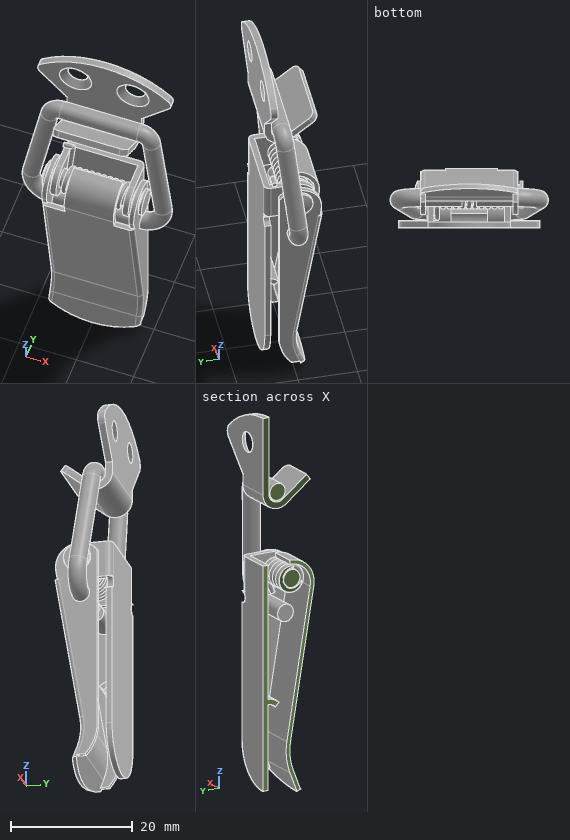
import cadquery as cq
import math



def polar(center, radius, degrees):
    """Point on a circle at an angle from the first axis of the sketch plane."""
    angle = math.radians(degrees)
    return center[0] + radius * math.cos(angle), center[1] + radius * math.sin(angle)


def along(start, distance, degrees):
    """Point a given distance from a start point along a heading."""
    return polar(start, distance, degrees)


def slab(profile, x_min, x_max):
    """Extrude a closed YZ profile from x_min to x_max."""
    return profile.extrude(x_max - x_min).translate((x_min, 0, 0))


def side_sketch():
    """Sketch plane with Y across and Z up."""
    return cq.Workplane("YZ")


def x_cylinder(center, radius, x_min, x_max):
    """Cylinder along X about a (Y, Z) center."""
    return slab(side_sketch().center(*center).circle(radius), x_min, x_max)


pin_center = (-5.5, 0.0)
pin_radius = 1.6

base_thickness = 1.0
base_half_width = 6.8
base_top = 3.05
ear_bottom = -3.1
relief_radius = 1.0
base_end_center = -29.1
tab_top = -20.1
tab_outer_radius = 3.0
tab_half_width = 3.0
tab_sweep = 45


def make_base():
    ear_height = base_top - ear_bottom
    ear_middle = (base_top + ear_bottom) / 2
    ear_radius = ear_height / 2
    bracket = slab(
        side_sketch()
        .moveTo(0, base_top)
        .lineTo(pin_center[0], base_top)
        .threePointArc((pin_center[0] - ear_radius, ear_middle), (pin_center[0], ear_bottom))
        .lineTo(0, ear_bottom)
        .close(),
        -base_half_width,
        base_half_width,
    )
    bracket = bracket.edges("|Z and >Y").fillet(base_thickness)
    inner_half_width = base_half_width - base_thickness
    inner_depth = 2 * abs(pin_center[0])
    channel = cq.Workplane("XY").box(
        2 * inner_half_width, inner_depth, 2 * ear_height, centered=(True, False, True)
    )
    bracket = bracket.cut(channel.translate((0, -base_thickness - inner_depth, 0)))
    bracket = bracket.cut(x_cylinder(pin_center, pin_radius, -base_half_width, base_half_width))

    plate = (
        cq.Workplane("XZ")
        .moveTo(-base_half_width, ear_bottom)
        .lineTo(base_half_width, ear_bottom)
        .lineTo(base_half_width, base_end_center)
        .threePointArc((0, base_end_center - base_half_width), (-base_half_width, base_end_center))
        .close()
        .extrude(base_thickness)
    )
    reliefs = (
        cq.Workplane("XZ")
        .pushPoints([(side * base_half_width, ear_bottom - relief_radius) for side in (-1, 1)])
        .circle(relief_radius)
        .extrude(base_thickness)
    )
    tab_center = (-base_thickness, tab_top - tab_outer_radius)
    tab_inner_radius = tab_outer_radius - base_thickness
    tab = slab(
        side_sketch()
        .moveTo(*polar(tab_center, tab_outer_radius, 90))
        .threePointArc(
            polar(tab_center, tab_outer_radius, 90 + tab_sweep / 2),
            polar(tab_center, tab_outer_radius, 90 + tab_sweep),
        )
        .lineTo(*polar(tab_center, tab_inner_radius, 90 + tab_sweep))
        .threePointArc(
            polar(tab_center, tab_inner_radius, 90 + tab_sweep / 2),
            polar(tab_center, tab_inner_radius, 90),
        )
        .close(),
        -tab_half_width,
        tab_half_width,
    )
    return bracket.union(plate.cut(reliefs)).union(tab)


wire_radius = 1.5
bail_top = (-2.8, 15.4)
bail_hinge = (-5.0, -6.2)
bail_top_half = 6.75
bail_top_bend = 2.15
bail_low_bend = 3.82
bail_low_bend_x = 7.685
bail_end_x = 1.2


def make_bail():
    rise = bail_top[1] - bail_hinge[1]
    setback = bail_top[0] - bail_hinge[0]
    length = math.hypot(rise, setback)
    tilt = math.degrees(math.atan2(setback, rise))

    low_center = (bail_low_bend_x, bail_low_bend)
    top_center = (bail_top_half, length - bail_top_bend)
    run = low_center[0] - top_center[0]
    drop = top_center[1] - low_center[1]
    splay = math.degrees(
        math.atan2(run, drop)
        + math.asin((bail_low_bend - bail_top_bend) / math.hypot(run, drop))
    )
    low_start = (low_center[0], 0)
    low_middle = polar(low_center, bail_low_bend, (splay - 90) / 2)
    low_end = polar(low_center, bail_low_bend, splay)
    top_start = polar(top_center, bail_top_bend, splay)
    top_middle = polar(top_center, bail_top_bend, (splay + 90) / 2)
    top_end = (bail_top_half, length)

    def mirrored(point):
        return -point[0], point[1]

    path = (
        cq.Workplane("XZ")
        .moveTo(bail_end_x, 0)
        .lineTo(*low_start)
        .threePointArc(low_middle, low_end)
        .lineTo(*top_start)
        .threePointArc(top_middle, top_end)
        .lineTo(*mirrored(top_end))
        .threePointArc(mirrored(top_middle), mirrored(top_start))
        .lineTo(*mirrored(low_end))
        .threePointArc(mirrored(low_middle), mirrored(low_start))
        .lineTo(-bail_end_x, 0)
    )
    loop = cq.Workplane("YZ", origin=(bail_end_x, 0, 0)).circle(wire_radius).sweep(path)
    return loop.rotate((0, 0, 0), (1, 0, 0), -tilt).translate((0, *bail_hinge))


strike_thickness = 1.2
strike_top = 28.55
strike_arc_radius = 16.7
strike_corner_radius = 1.5
neck_half_width = 6.5
neck_top = 17.1
wing_half_width = 12.2
screw_x = 5.0
screw_z = 23.05
screw_hole_radius = 1.7
countersink_radius = 2.8
lip_angle = 38
lip_length = 5.75
lip_corner_radius = 1.2
cradle_radius = 1.6
cradle_center = (-strike_thickness - cradle_radius, 15.3)


def make_strike():
    arc_drop = strike_arc_radius - math.sqrt(strike_arc_radius**2 - wing_half_width**2)
    wing_z = strike_top - arc_drop
    plate = (
        cq.Workplane("XZ")
        .moveTo(-neck_half_width, cradle_center[1])
        .lineTo(-neck_half_width, neck_top)
        .lineTo(-wing_half_width, wing_z)
        .threePointArc((0, strike_top), (wing_half_width, wing_z))
        .lineTo(neck_half_width, neck_top)
        .lineTo(neck_half_width, cradle_center[1])
        .close()
        .extrude(strike_thickness)
    )
    plate = plate.edges("|Y").edges("<X or >X").fillet(strike_corner_radius)
    for side in (-1, 1):
        screw_hole = cq.Solid.makeCone(
            screw_hole_radius,
            countersink_radius,
            strike_thickness,
            pnt=cq.Vector(side * screw_x, 0, screw_z),
            dir=cq.Vector(0, -1, 0),
        )
        plate = plate.cut(cq.Workplane(obj=screw_hole))

    outer_radius = cradle_radius + strike_thickness
    cradle_end = 270 - lip_angle
    lip_heading = 180 - lip_angle
    inner_end = polar(cradle_center, cradle_radius, cradle_end)
    outer_end = polar(cradle_center, outer_radius, cradle_end)
    cradle_middle = cradle_end / 2 + 180
    hook = slab(
        side_sketch()
        .moveTo(0, cradle_center[1])
        .threePointArc(polar(cradle_center, outer_radius, cradle_middle), outer_end)
        .lineTo(*along(outer_end, lip_length, lip_heading))
        .lineTo(*along(inner_end, lip_length, lip_heading))
        .lineTo(*inner_end)
        .threePointArc(
            polar(cradle_center, cradle_radius, cradle_middle),
            (-strike_thickness, cradle_center[1]),
        )
        .close(),
        -neck_half_width,
        neck_half_width,
    )
    lip_angle_rad = math.radians(lip_angle)
    lip_normal = cq.Vector(0, math.sin(lip_angle_rad), math.cos(lip_angle_rad))
    lip_corners = hook.edges(cq.selectors.ParallelDirSelector(lip_normal)).edges("<Y")
    hook = lip_corners.fillet(lip_corner_radius)
    return plate.union(hook)


lever_thickness = 0.8
lever_edge_radius = 0.75
lever_half_width = 8.0
lever_back = -2.23
lever_slope = 9.6
knuckle_center = (-5.3, -1.25)
knuckle_radius = 4.5
knuckle_left = -3.92
knuckle_right = 4.64
knuckle_end_angle = 87
cheek_inset = 0.5
shoulder_z = -3.35
lever_bend_z = -28.1
lever_bend_radius = 9.5
tip_slope = 21.4
tip_low = -36.94
tip_arc_radius = 17.0
wall_straight_end = -30.2
wall_foot = (-4.25, -34.7)
wall_curve_middle = (-3.0, -32.85)


def front_line_y(z, inset):
    """Y of the lever's sloping front at height z, set inwards by inset."""
    slope = math.radians(lever_slope)
    reach = (knuckle_radius - inset) / math.cos(slope)
    return knuckle_center[0] - reach - (z - knuckle_center[1]) * math.tan(slope)


def make_lever(bail_loop):
    inner_x = lever_half_width - lever_thickness
    bend_start = (front_line_y(lever_bend_z, 0), lever_bend_z)
    bend_center = along(bend_start, lever_bend_radius, 180 + lever_slope)
    inner_bend_radius = lever_bend_radius + lever_thickness
    bend_angles = (lever_slope, (lever_slope - tip_slope) / 2, -tip_slope)
    outer_bend = [polar(bend_center, lever_bend_radius, angle) for angle in bend_angles]
    inner_bend = [polar(bend_center, inner_bend_radius, angle) for angle in bend_angles]
    tip_length = (inner_bend[2][1] - tip_low) / math.cos(math.radians(tip_slope))
    tip_heading = 270 - tip_slope
    outer_tip = along(outer_bend[2], tip_length, tip_heading)
    inner_tip = along(inner_bend[2], tip_length, tip_heading)

    foot_height = (wall_foot[1] - tip_low) / math.cos(math.radians(tip_slope))
    sheet_foot = along(inner_tip, foot_height, tip_heading - 180)
    shoulder_front = (front_line_y(shoulder_z, 0), shoulder_z)
    lever = slab(
        side_sketch()
        .moveTo(*shoulder_front)
        .lineTo(*bend_start)
        .threePointArc(outer_bend[1], outer_bend[2])
        .lineTo(*outer_tip)
        .lineTo(*inner_tip)
        .lineTo(*sheet_foot)
        .lineTo(*wall_foot)
        .threePointArc(wall_curve_middle, (lever_back, wall_straight_end))
        .lineTo(lever_back, shoulder_z)
        .close(),
        -lever_half_width,
        lever_half_width,
    )
    front_edges = cq.Workplane()
    front_corners = (shoulder_front, bend_start, outer_bend[2], outer_tip)
    for start, end in zip(front_corners, front_corners[1:]):
        middle = ((start[0] + end[0]) / 2, (start[1] + end[1]) / 2)
        for side in (-1, 1):
            edge_middle = (side * lever_half_width, *middle)
            front_edges.add(lever.edges(cq.selectors.NearestToPointSelector(edge_middle)))
    lever = lever.newObject(front_edges.vals()).fillet(lever_edge_radius)
    hollow = slab(
        side_sketch()
        .moveTo(front_line_y(shoulder_z, lever_thickness), shoulder_z)
        .lineTo(*inner_bend[0])
        .threePointArc(inner_bend[1], inner_bend[2])
        .lineTo(*inner_tip)
        .lineTo(0, tip_low)
        .lineTo(0, shoulder_z)
        .close(),
        -inner_x,
        inner_x,
    )
    lever = lever.cut(hollow)

    tip_rad = math.radians(tip_slope)
    tip_plane = cq.Plane(
        origin=(0, *outer_tip),
        xDir=(1, 0, 0),
        normal=(0, -math.cos(tip_rad), math.sin(tip_rad)),
    )
    corner_rise = tip_arc_radius - math.sqrt(tip_arc_radius**2 - lever_half_width**2)
    trim = (
        cq.Workplane(tip_plane)
        .moveTo(-lever_half_width, corner_rise)
        .threePointArc((0, 0), (lever_half_width, corner_rise))
        .lineTo(lever_half_width, -corner_rise)
        .lineTo(-lever_half_width, -corner_rise)
        .close()
        .extrude(2 * lever_thickness, both=True)
    )
    lever = lever.cut(trim)

    inner_knuckle = knuckle_radius - lever_thickness
    roll_start = 180 + lever_slope
    roll_middle = (roll_start + knuckle_end_angle) / 2
    knuckle = slab(
        side_sketch()
        .moveTo(*shoulder_front)
        .lineTo(*polar(knuckle_center, knuckle_radius, roll_start))
        .threePointArc(
            polar(knuckle_center, knuckle_radius, roll_middle),
            polar(knuckle_center, knuckle_radius, knuckle_end_angle),
        )
        .lineTo(*polar(knuckle_center, inner_knuckle, knuckle_end_angle))
        .threePointArc(
            polar(knuckle_center, inner_knuckle, roll_middle),
            polar(knuckle_center, inner_knuckle, roll_start),
        )
        .lineTo(front_line_y(shoulder_z, lever_thickness), shoulder_z)
        .close(),
        knuckle_left,
        knuckle_right,
    )
    lever = lever.union(knuckle)

    cheek_radius = knuckle_radius - cheek_inset
    back_offset = lever_back - knuckle_center[0]
    cheek_back_z = knuckle_center[1] + math.sqrt(cheek_radius**2 - back_offset**2)
    for x_min in (-lever_half_width, inner_x):
        cheek = slab(
            side_sketch()
            .moveTo(lever_back, shoulder_z)
            .lineTo(lever_back, cheek_back_z)
            .threePointArc(
                polar(knuckle_center, cheek_radius, 90),
                polar(knuckle_center, cheek_radius, roll_start),
            )
            .lineTo(front_line_y(shoulder_z, cheek_inset), shoulder_z)
            .close(),
            x_min,
            x_min + lever_thickness,
        )
        lever = lever.union(cheek)

    for x_min in (-lever_half_width, inner_x):
        lever = lever.cut(x_cylinder(pin_center, pin_radius, x_min, x_min + lever_thickness))
    return lever.cut(bail_loop)


head_radius = 2.25
head_rim = 0.45
head_dome = 0.6
collar_start = 8.3
collar_end = 8.8


def make_pin():
    head_x = -lever_half_width
    rim_x = head_x - head_rim
    apex_x = rim_x - head_dome
    dome_sphere = (head_radius**2 + head_dome**2) / (2 * head_dome)
    dome_radius = head_radius / 2
    dome_x = apex_x + dome_sphere - math.sqrt(dome_sphere**2 - dome_radius**2)
    section = (
        cq.Workplane("XY")
        .moveTo(apex_x, 0)
        .threePointArc((dome_x, dome_radius), (rim_x, head_radius))
        .lineTo(head_x, head_radius)
        .lineTo(head_x, pin_radius)
        .lineTo(collar_start, pin_radius)
        .lineTo(collar_start, head_radius)
        .lineTo(collar_end, head_radius)
        .lineTo(collar_end, 0)
        .close()
    )
    return section.revolve(360, (0, 0, 0), (1, 0, 0)).translate((0, *pin_center))


spring_wire = 0.4
coil_radius = 2.02
coil_left = -5.3
coil_right = 5.27
coil_turns = 10
hook_corner = (-1.63, 3.8)
hook_end_x = -6.9
lever_leg_length = 3.2


def wire_segment(start, end):
    """Straight round wire with a ball at its start to round off the joint."""
    direction = cq.Vector(*end) - cq.Vector(*start)
    segment = cq.Solid.makeCylinder(spring_wire, direction.Length, cq.Vector(*start), direction)
    ball = cq.Workplane("XY").sphere(spring_wire).translate(start)
    return ball.union(cq.Workplane(obj=segment))


def make_spring():
    reach_y = hook_corner[0] - pin_center[0]
    reach_z = hook_corner[1] - pin_center[1]
    bearing = math.degrees(math.atan2(reach_z, reach_y))
    tangent_angle = math.degrees(math.acos(coil_radius / math.hypot(reach_y, reach_z)))
    coil_start = bearing - tangent_angle

    coil_length = coil_right - coil_left
    helix = cq.Wire.makeHelix(coil_length / coil_turns, coil_length, coil_radius, lefthand=True)
    coil = (
        cq.Workplane("XZ", origin=(coil_radius, 0, 0))
        .circle(spring_wire)
        .sweep(cq.Workplane(obj=helix), isFrenet=True)
        .rotate((0, 0, 0), (0, 1, 0), 90)
        .rotate((0, 0, 0), (1, 0, 0), coil_start + 90)
        .translate((coil_left, *pin_center))
    )

    leg_root = polar(pin_center, coil_radius, coil_start)
    lever_leg_end = along(leg_root, lever_leg_length, coil_start - 90)
    hook_leg = wire_segment((coil_left, *leg_root), (coil_left, *hook_corner))
    hook = wire_segment((coil_left, *hook_corner), (hook_end_x, *hook_corner))
    lever_leg = wire_segment((coil_right, *leg_root), (coil_right, *lever_leg_end))
    return coil.union(hook_leg).union(hook).union(lever_leg)


base = make_base()
bail = make_bail()
strike = make_strike()
lever = make_lever(bail)
pin = make_pin()
spring = make_spring()

result = cq.Compound.makeCompound(
    [base.val(), bail.val(), strike.val(), lever.val(), pin.val(), spring.val()]
)